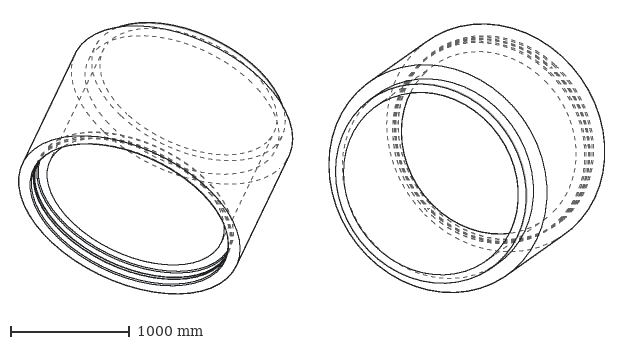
import cadquery as cq

outer_radius = 1000.0
wall_thickness = 200.0
overall_length = 1395.0
bore_radius = outer_radius - wall_thickness

spigot_radius = 875.0
spigot_length = 152.0
spigot_taper_length = 12.0
spigot_taper_depth = 2.0

socket_radius = 888.0
socket_depth = 150.0
bevel_depth = 8.0
bevel_length = 12.0

groove_start = 68.0
groove_width = 22.0
groove_depth = 5.0

front_end = -overall_length / 2
back_end = overall_length / 2
shoulder = back_end - spigot_length
socket_floor = front_end + socket_depth
groove_front = front_end + groove_start
groove_back = groove_front + groove_width

outside = [
    (outer_radius, front_end),
    (outer_radius, shoulder),
    (spigot_radius, shoulder),
    (spigot_radius, back_end - spigot_taper_length),
    (spigot_radius - spigot_taper_depth, back_end),
]
bore = [
    (bore_radius, back_end),
    (bore_radius, socket_floor),
]
socket = [
    (socket_radius - bevel_depth, socket_floor),
    (socket_radius, socket_floor - bevel_length),
    (socket_radius, groove_back),
    (socket_radius + groove_depth, groove_back),
    (socket_radius + groove_depth, groove_front),
    (socket_radius, groove_front),
    (socket_radius, front_end + bevel_length),
    (socket_radius + bevel_depth, front_end),
]

half_section = cq.Workplane("XY").polyline(outside + bore + socket).close()
result = half_section.revolve(360, (0, 0, 0), (0, 1, 0))